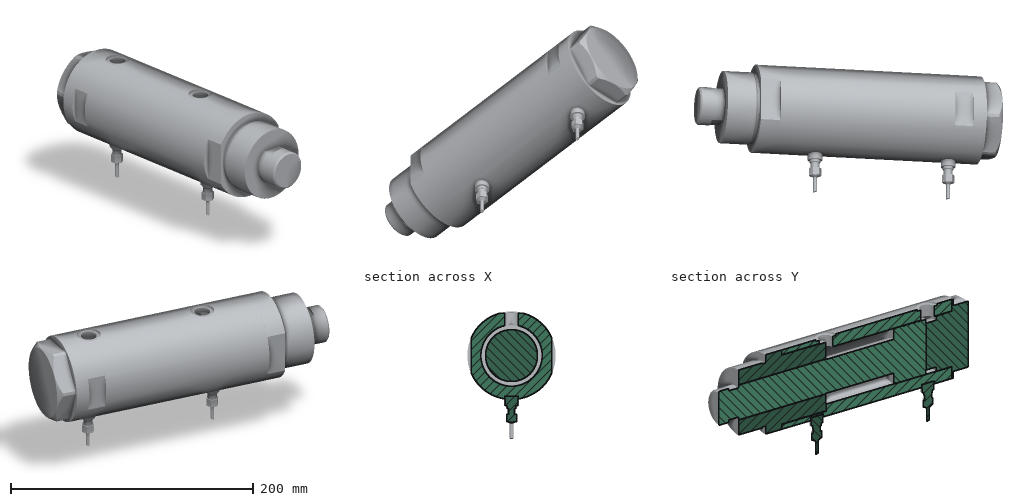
import cadquery as cq
import math


hex_length = 14.8
flange_end = 16.3
barrel_end = 188.1
head_end = 204.2
neck_end = 206.5
gland_end = 231.5
rod_end = 251.5

barrel_radius = 36.5
bore_radius = 25.2
counterbore_radius = 31.5
flat_start = 26.2
flat_width = 15.0
flat_offset = 33.5

cap_port_x = 41.2
head_port_x = 143.4
port_diameter = 13.0
spotface_diameter = 19.5
spotface_height = 35.0

hex_across_flats = 60.0
hex_corner_diameter = 68.0
hex_turn_angle = 7.5
cap_face_radius = 29.7
cap_chamfer_length = 3.8
plug_end = 32.7
stop_radius = 21.6
stop_end = 42.8

head_flat_offset = 32.0
neck_radius = 29.2
gland_radius = 30.0
gland_chamfer = 1.0

piston_end = 75.5
rod_diameter = 31.5
rod_radius = rod_diameter / 2
rod_flat_end = 240.7
rod_flat_offset = 13.5
rod_chamfer = 1.3

sensor_xs = (40.5, 152.5)
sensor_seat = 34.0
collar_radius = 6.0
collar_bottom = 41.5
shoulder_radius = 4.5
shoulder_bottom = 44.0
shoulder_chamfer = 0.63
stem_radius = 3.8
nut_top = 48.3
nut_across_flats = 9.0
nut_bottom = 54.8
cone_top_radius = 3.8
cone_bottom = 56.3
cable_radius = 1.5
cable_bottom = 69.0
cable_slant = 1.0


def x_cylinder(radius, start, end):
    """Solid cylinder on the X axis between two stations."""
    return cq.Workplane("YZ").workplane(offset=start).circle(radius).extrude(end - start)


def z_cylinder(x, radius, bottom, top):
    """Solid upright cylinder between two heights."""
    return cq.Workplane("XY").workplane(offset=bottom).center(x, 0).circle(radius).extrude(top - bottom)


def slab(start, end, width, height):
    """Box centred on the X axis between two stations."""
    return cq.Workplane("YZ").workplane(offset=start).rect(width, height).extrude(end - start)


def make_barrel():
    barrel = x_cylinder(barrel_radius, flange_end, barrel_end)

    flat_end = flat_start + flat_width
    flat_ring = x_cylinder(barrel_radius, flat_start, flat_end)
    kept_core = slab(flat_start, flat_end, 2 * flat_offset, 2 * barrel_radius)
    barrel = barrel.cut(flat_ring.cut(kept_core))

    barrel = barrel.cut(x_cylinder(bore_radius, flange_end, barrel_end))
    barrel = barrel.cut(x_cylinder(counterbore_radius, head_port_x, barrel_end))

    for x in (cap_port_x, head_port_x):
        barrel = barrel.cut(z_cylinder(x, spotface_diameter / 2, spotface_height, barrel_radius))
        barrel = barrel.cut(z_cylinder(x, port_diameter / 2, 0, barrel_radius))

    for x in sensor_xs:
        barrel = barrel.cut(z_cylinder(x, collar_radius, -barrel_radius, -sensor_seat))
    return barrel


def make_cap():
    corner_radius = hex_corner_diameter / 2
    hexagon = (
        cq.Workplane("YZ")
        .polygon(6, hex_across_flats / math.cos(math.pi / 6))
        .extrude(hex_length)
        .rotate((0, 0, 0), (1, 0, 0), -hex_turn_angle)
    )
    blank = (
        cq.Workplane("XY")
        .polyline([
            (0, 0),
            (0, cap_face_radius),
            (cap_chamfer_length, corner_radius),
            (hex_length, corner_radius),
            (hex_length, 0),
        ])
        .close()
        .revolve(360, (0, 0), (1, 0))
    )
    cap = hexagon.intersect(blank)
    cap = cap.union(x_cylinder(barrel_radius, hex_length, flange_end))
    cap = cap.union(x_cylinder(bore_radius, flange_end, plug_end))
    return cap.union(x_cylinder(stop_radius, plug_end, stop_end))


def make_head():
    collar = x_cylinder(barrel_radius, barrel_end, head_end)
    collar = collar.intersect(slab(barrel_end, head_end, 2 * head_flat_offset, 2 * barrel_radius))
    gland = x_cylinder(gland_radius, neck_end, gland_end).faces("<X").chamfer(gland_chamfer)
    head = x_cylinder(counterbore_radius, head_port_x, barrel_end).union(collar)
    head = head.union(x_cylinder(neck_radius, head_end, neck_end)).union(gland)
    return head.cut(x_cylinder(rod_radius, head_port_x, gland_end))


def make_piston_rod():
    piston = x_cylinder(bore_radius, stop_end, piston_end)
    rod = x_cylinder(rod_radius, piston_end, rod_end).faces(">X").chamfer(rod_chamfer)
    flat_ring = x_cylinder(rod_radius, gland_end, rod_flat_end)
    kept_core = slab(gland_end, rod_flat_end, 2 * rod_radius, 2 * rod_flat_offset)
    return piston.union(rod.cut(flat_ring.cut(kept_core)))


def make_sensor(x):
    sensor = z_cylinder(x, collar_radius, -collar_bottom, -sensor_seat)
    shoulder = z_cylinder(x, shoulder_radius, -shoulder_bottom, -collar_bottom)
    sensor = sensor.union(shoulder.faces("<Z").chamfer(shoulder_chamfer))
    sensor = sensor.union(z_cylinder(x, stem_radius, -nut_top, -shoulder_bottom))
    nut = (
        cq.Workplane("XY")
        .workplane(offset=-nut_bottom)
        .center(x, 0)
        .polygon(6, nut_across_flats / math.cos(math.pi / 6))
        .extrude(nut_bottom - nut_top)
    )
    cone = (
        cq.Workplane("XY")
        .workplane(offset=-nut_bottom)
        .center(x, 0)
        .circle(cone_top_radius)
        .workplane(offset=nut_bottom - cone_bottom)
        .circle(cable_radius)
        .loft()
    )
    cable = z_cylinder(x, cable_radius, -cable_bottom, -cone_bottom)
    cut_off = (
        cq.Workplane("XZ")
        .polyline([
            (x - cable_radius, -cable_bottom),
            (x + cable_radius, -cable_bottom),
            (x - cable_radius, cable_slant - cable_bottom),
        ])
        .close()
        .extrude(cable_radius, both=True)
    )
    cable = cable.cut(cut_off)
    return sensor.union(nut).union(cone).union(cable)


barrel = make_barrel()
cap = make_cap()
head = make_head()
piston_rod = make_piston_rod()
sensors = [make_sensor(x) for x in sensor_xs]

result = cq.Compound.makeCompound([
    barrel.val(),
    cap.val(),
    head.val(),
    piston_rod.val(),
    *[sensor.val() for sensor in sensors],
])